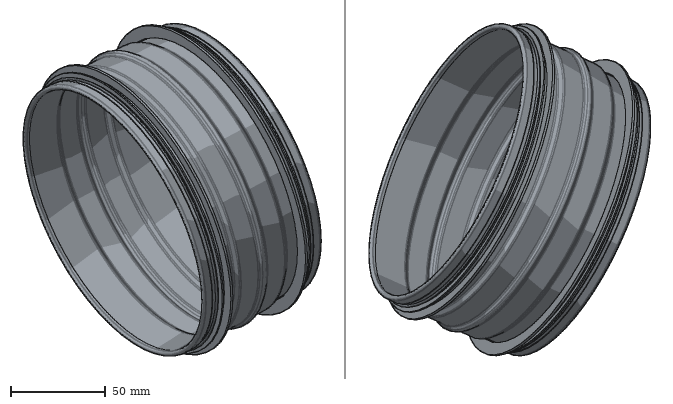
import math

import cadquery as cq


HALF_LENGTH = 39.5
SHEET = 0.5
WALL_OUTER_RADIUS = 159.0 / 2
NECK_OUTER_RADIUS = 154.2 / 2
BEAD_OUTER_RADIUS = 163.0 / 2
HEM_EDGE_Y = 33.7
STEP_TOP_Y = 14.5
BEND_ANGLE = 45.0

STEP_TOP_BEND = 1.27
STEP_FOOT_BEND = 1.27
BEAD_ROOT_BEND = 1.27
BEAD_CREST_BEND = 1.7

WALL_RADIUS = WALL_OUTER_RADIUS - SHEET / 2
NECK_RADIUS = NECK_OUTER_RADIUS - SHEET / 2
BEAD_RADIUS = BEAD_OUTER_RADIUS - SHEET / 2
HEM_BEND = (WALL_RADIUS - NECK_RADIUS) / 2
HEM_BEND_Y = HALF_LENGTH - HEM_BEND - SHEET / 2

SEAL_OUTER_RADIUS = WALL_OUTER_RADIUS - SHEET
SEAL_MOUTH_RADIUS = 155.3 / 2
SEAL_TIP_INNER_RADIUS = NECK_OUTER_RADIUS
SEAL_TIP_OUTER_RADIUS = SEAL_MOUTH_RADIUS
SEAL_TIP_Y = 36.3
RIB_RADIUS = 160.6 / 2
RIB_Y = 31.0
RIB_WIDTH = 1.0
SMALL_LIP_RADIUS = 164.3 / 2
SMALL_LIP_Y = 29.0
SMALL_LIP_WIDTH = 0.8
LARGE_LIP_RADIUS = 169.4 / 2
LARGE_LIP_INNER_Y = 24.2
LARGE_LIP_WIDTH = 1.4


def slope_between(rise, first_bend, second_bend):
    """Straight length of a slope that climbs `rise` between two bends, and its whole axial run."""
    angle = math.radians(BEND_ANGLE)
    bends = first_bend + second_bend
    length = (rise - bends * (1 - math.cos(angle))) / math.sin(angle)
    run = bends * math.sin(angle) + length * math.cos(angle)
    return length, run


def sheet_moves():
    """Path of the middle of the sheet as (length, 0) straights and (bend radius, turn in degrees) bends."""
    step_slope, step_run = slope_between(WALL_RADIUS - NECK_RADIUS, STEP_FOOT_BEND, STEP_TOP_BEND)
    bead_slope, bead_run = slope_between(BEAD_RADIUS - WALL_RADIUS, BEAD_ROOT_BEND, BEAD_CREST_BEND)
    half = [
        (HEM_BEND_Y - HEM_EDGE_Y, 0),
        (HEM_BEND, -180),
        (HEM_BEND_Y - STEP_TOP_Y - step_run, 0),
        (STEP_FOOT_BEND, -BEND_ANGLE),
        (step_slope, 0),
        (STEP_TOP_BEND, BEND_ANGLE),
        (STEP_TOP_Y - bead_run, 0),
        (BEAD_ROOT_BEND, -BEND_ANGLE),
        (bead_slope, 0),
    ]
    crest = [(BEAD_CREST_BEND, 2 * BEND_ANGLE)]
    return half + crest + half[::-1]


def sheet_side(offset):
    """One face of the sheet, `offset` to the left of its middle: the start and (arc middle, end) pieces."""
    x, y, heading = WALL_RADIUS, -HEM_EDGE_Y, -90.0

    def beside(px, py, degrees, distance):
        left = math.radians(degrees + 90)
        return px + distance * math.cos(left), py + distance * math.sin(left)

    start = beside(x, y, heading, offset)
    pieces = []
    for size, turn in sheet_moves():
        if turn == 0:
            x += size * math.cos(math.radians(heading))
            y += size * math.sin(math.radians(heading))
            arc_middle = None
        else:
            to_centre = math.copysign(size, turn)
            centre = beside(x, y, heading, to_centre)
            arc_middle = beside(*centre, heading + turn / 2, offset - to_centre)
            heading += turn
            x, y = beside(*centre, heading, -to_centre)
        pieces.append((arc_middle, beside(x, y, heading, offset)))
    return start, pieces


def draw_pieces(outline, pieces):
    for arc_middle, end in pieces:
        if arc_middle is None:
            outline = outline.lineTo(*end)
        else:
            outline = outline.threePointArc(arc_middle, end)
    return outline


def turn_about_y(outline):
    return outline.close().revolve(360, (0, 0, 0), (0, 1, 0))


def make_tube():
    start, left_pieces = sheet_side(SHEET / 2)
    right_start, right_pieces = sheet_side(-SHEET / 2)
    return_pieces = [
        ((middle[0], -middle[1]) if middle else None, (end[0], -end[1])) for middle, end in right_pieces
    ]
    outline = draw_pieces(cq.Workplane("XY").moveTo(*start), left_pieces)
    outline = outline.lineTo(right_start[0], -right_start[1])
    return turn_about_y(draw_pieces(outline, return_pieces))


def make_seal(side):
    """Seal ring at the +Y end (side = 1) or the -Y end (side = -1)."""
    rib_half = RIB_WIDTH / 2
    small_lip_half = SMALL_LIP_WIDTH / 2
    large_lip_outer_y = LARGE_LIP_INNER_Y + LARGE_LIP_WIDTH
    outline = (
        cq.Workplane("XY")
        .moveTo(SEAL_MOUTH_RADIUS, side * LARGE_LIP_INNER_Y)
        .lineTo(LARGE_LIP_RADIUS, side * LARGE_LIP_INNER_Y)
        .lineTo(LARGE_LIP_RADIUS, side * large_lip_outer_y)
        .lineTo(SEAL_OUTER_RADIUS, side * large_lip_outer_y)
        .lineTo(SEAL_OUTER_RADIUS, side * (SMALL_LIP_Y - small_lip_half))
        .lineTo(SMALL_LIP_RADIUS, side * (SMALL_LIP_Y - small_lip_half))
        .lineTo(SMALL_LIP_RADIUS, side * (SMALL_LIP_Y + small_lip_half))
        .lineTo(SEAL_OUTER_RADIUS, side * (SMALL_LIP_Y + small_lip_half))
        .lineTo(SEAL_OUTER_RADIUS, side * (RIB_Y - rib_half))
        .lineTo(RIB_RADIUS - rib_half, side * (RIB_Y - rib_half))
        .threePointArc((RIB_RADIUS, side * RIB_Y), (RIB_RADIUS - rib_half, side * (RIB_Y + rib_half)))
        .lineTo(SEAL_OUTER_RADIUS, side * (RIB_Y + rib_half))
        .lineTo(SEAL_OUTER_RADIUS, side * HEM_EDGE_Y)
        .lineTo(SEAL_TIP_OUTER_RADIUS, side * SEAL_TIP_Y)
        .lineTo(SEAL_TIP_INNER_RADIUS, side * SEAL_TIP_Y)
    )
    return turn_about_y(outline)


tube = make_tube()
seals = [make_seal(side) for side in (-1, 1)]

result = cq.Compound.makeCompound([tube.val(), *[seal.val() for seal in seals]])